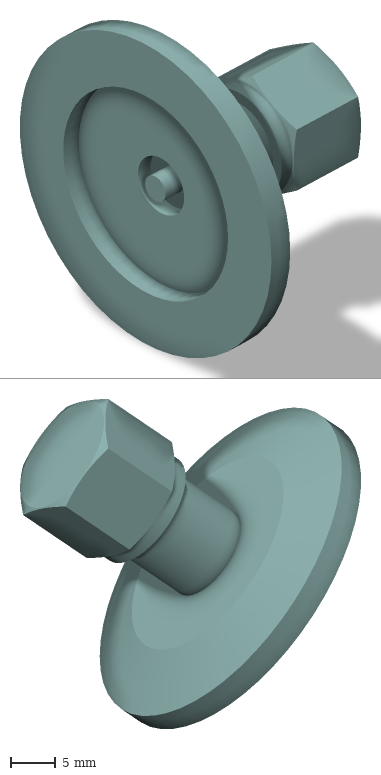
import cadquery as cq
import math

total_length = 27.35

flange_diameter = 40.0
flange_rim_width = 3.0
flange_width = 5.0
flange_back_diameter = 25.1
recess_diameter = 26.2
recess_depth = 2.5

tube_diameter = 11.05
bore_diameter = 7.3
bore_depth = 2.0
pin_diameter = 3.25
pin_protrusion = 0.9
collar_diameter = 13.8
collar_start = 14.8
nut_start = 16.5
nut_sides = 6
nut_across_flats = 14.1
nut_face_diameter = collar_diameter
nut_chamfer_length = 0.5

nut_length = total_length - nut_start
nut_across_corners = nut_across_flats / math.cos(math.pi / nut_sides)


def cylinder(diameter, start, end):
    """Solid cylinder on the Y axis between two Y positions."""
    return (
        cq.Workplane("XZ", origin=(0, start, 0))
        .circle(diameter / 2)
        .extrude(start - end)
    )


def make_flange():
    """Tapered disc with a front recess and a through hole for the tube."""
    rim_radius = flange_diameter / 2
    disc = (
        cq.Workplane("XY")
        .polyline([
            (0, 0),
            (rim_radius, 0),
            (rim_radius, flange_rim_width),
            (flange_back_diameter / 2, flange_width),
            (0, flange_width),
        ])
        .close()
        .revolve(360, (0, 0, 0), (0, 1, 0))
    )
    recess = cylinder(recess_diameter, 0, recess_depth)
    tube_hole = cylinder(tube_diameter, 0, flange_width)
    return disc.cut(recess).cut(tube_hole)


def make_nut():
    """Hexagon with corners on Z, chamfered conically at both ends."""
    hexagon = (
        cq.Workplane("XZ", origin=(0, nut_start, 0))
        .transformed(rotate=(0, 0, 90))
        .polygon(nut_sides, nut_across_corners)
        .extrude(-nut_length)
    )
    face_radius = nut_face_diameter / 2
    corner_radius = nut_across_corners / 2
    chamfer_envelope = (
        cq.Workplane("XY")
        .polyline([
            (0, nut_start),
            (face_radius, nut_start),
            (corner_radius, nut_start + nut_chamfer_length),
            (corner_radius, total_length - nut_chamfer_length),
            (face_radius, total_length),
            (0, total_length),
        ])
        .close()
        .revolve(360, (0, 0, 0), (0, 1, 0))
    )
    return hexagon.intersect(chamfer_envelope)


def make_connector():
    """Tube, collar and hexagon in one piece, with a pin standing in its front bore."""
    bore_floor = recess_depth + bore_depth
    tube = cylinder(tube_diameter, recess_depth, collar_start)
    collar = cylinder(collar_diameter, collar_start, nut_start)
    bore = cylinder(bore_diameter, recess_depth, bore_floor)
    pin = cylinder(pin_diameter, recess_depth - pin_protrusion, bore_floor)
    return tube.union(collar).union(make_nut()).cut(bore).union(pin)


flange = make_flange()
connector = make_connector()

result = cq.Compound.makeCompound([flange.val(), connector.val()])